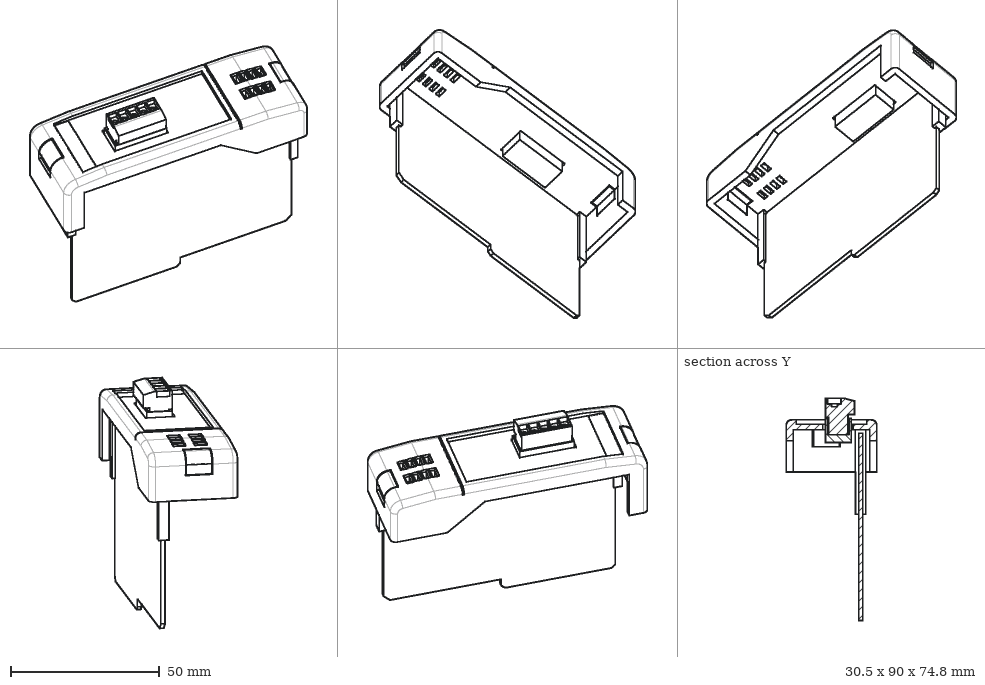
import cadquery as cq
import math


LENGTH = 90.0
WIDTH = 30.5
WALL = 2.4
EDGE_RADIUS = 2.0
CEILING_Z = -3.4
REAR_BOTTOM_Z = -17.6
FRONT_BOTTOM_Z = -25.0
REAR_SLOPE_Y = 29.8
REAR_SLOPE_DROP = 1.7
REAR_NOSE_RADIUS = 4.05
FRONT_SLOPE_Y = -30.1
FRONT_SLOPE_DROP = 1.35
FRONT_NOSE_RADIUS = 4.8

CUTOUT_Z = -7.1
CUTOUT_FRONT_Y = -38.2
CUTOUT_TOP_REAR_Y = 12.3
CUTOUT_BOTTOM_REAR_Y = 25.6

GROOVE_Y = 19.9
GROOVE_WIDTH = 0.5
GROOVE_DEPTH = 0.8
GROOVE_BOTTOM_Z = -2.4

PANEL_WIDTH = 23.6
PANEL_REAR_Y = 17.8
PANEL_FRONT_Y = -37.1
PANEL_DEPTH = 1.4
LABEL_REAR_Y = -31.7
LABEL_THICKNESS = 0.4

LED_COLUMNS = 2
LED_ROWS = 4
LED_COLUMN_PITCH = 7.4
LED_ROW_PITCH = 3.0
LED_CENTER = (-0.3, 31.4)
LED_RIM = (4.4, 2.6)
LED_BEVEL = 0.5

LATCH_WINDOW_X = -6.4
LATCH_WINDOW_WIDTH = 9.3
LATCH_WINDOW_REACH = 4.95
LATCH_WINDOW_BOTTOM_Z = -9.0
LATCH_GAP = 0.3
LATCH_INSET = 0.1
FINGER_NOTCH_DEPTH = 0.9

BOARD_X = 9.8
BOARD_THICKNESS = 1.4
BOARD_REAR_Y = 40.7
BOARD_FRONT_Y = -40.4
BOARD_TOP_Z = -4.5
BOARD_BOTTOM_Z = -67.5
BOARD_STEP_Y = -0.45
BOARD_STEP_HEIGHT = 4.05
BOARD_CHAMFER = 1.35
BOARD_REAR_CHAMFER = 2.2
GUIDE_WIDTH = 3.5
GUIDE_BOTTOM_Z = -31.8
GUIDE_OVERLAP = 0.8

TERMINAL_Y = -13.2
HEADER_LEFT_X = -2.1
HEADER_RIGHT_X = 6.7
HEADER_LENGTH = 19.1
HEADER_TOP_Z = 0.45
HEADER_BOTTOM_Z = -7.65
OPENING_LEFT_X = -2.9
OPENING_RIGHT_X = 7.2
OPENING_REAR_Y = -3.4
OPENING_FRONT_Y = -23.2
SOCKET_LEFT_X = -1.2
SOCKET_RIGHT_X = 5.9
SOCKET_LENGTH = 18.1
SOCKET_DEPTH = 5.4

POLES = 5
POLE_PITCH = 3.5
PLUG_LENGTH = POLES * POLE_PITCH
PLUG_TOP_Z = 7.3
PLUG_RIGHT_X = 7.7
PLUG_SHOULDER_Z = 0.8
PLUG_BEVEL_X = 4.05
PLUG_BEVEL_Z = 6.3
PLUG_OVERHANG_Z = 1.7
STEM_LEFT_X = -1.0
STEM_RIGHT_X = 5.6
POCKET_LEFT_X = -1.3
POCKET_WIDTH = 4.4
POCKET_LENGTH = 3.1
POCKET_DEPTH = 2.0
SCREW_HOLE_DIAMETER = 1.9
SCREW_HOLE_DEPTH = 0.9

ABOVE_ALL_Z = 9.0


def block(x_range, y_range, z_range):
    """Box between the given limits along each axis."""
    size = [abs(limits[1] - limits[0]) for limits in (x_range, y_range, z_range)]
    low = [min(limits) for limits in (x_range, y_range, z_range)]
    return cq.Workplane("XY").box(*size, centered=False).translate(tuple(low))


def side_extrusion(outline, width, center_x=0.0):
    """Extrudes an outline drawn on the YZ plane symmetrically about center_x."""
    return outline.extrude(width / 2, both=True).translate((center_x, 0, 0))


def nose_arc(direction, slope_y, slope_drop, radius):
    """Start, middle and end of the arc from a sloped top down to an end wall."""
    end_y = direction * LENGTH / 2
    angle = math.atan2(slope_drop, abs(end_y - slope_y))
    center_y = end_y - direction * radius
    slope_at_center = -abs(center_y - slope_y) * math.tan(angle)
    center_z = slope_at_center - radius / math.cos(angle)

    def point(turn):
        return (center_y + direction * radius * math.sin(turn), center_z + radius * math.cos(turn))

    middle_turn = (angle + math.pi / 2) / 2
    return point(angle), point(middle_turn), point(math.pi / 2)


REAR_NOSE = nose_arc(1, REAR_SLOPE_Y, REAR_SLOPE_DROP, REAR_NOSE_RADIUS)
FRONT_NOSE = nose_arc(-1, FRONT_SLOPE_Y, FRONT_SLOPE_DROP, FRONT_NOSE_RADIUS)


def side_outline():
    """Outline of the housing from the side, without the side cutout."""
    rear_start, rear_middle, rear_end = REAR_NOSE
    front_start, front_middle, front_end = FRONT_NOSE
    return (
        cq.Workplane("YZ")
        .moveTo(-LENGTH / 2, FRONT_BOTTOM_Z)
        .lineTo(*front_end)
        .threePointArc(front_middle, front_start)
        .lineTo(FRONT_SLOPE_Y, 0)
        .lineTo(REAR_SLOPE_Y, 0)
        .lineTo(*rear_start)
        .threePointArc(rear_middle, rear_end)
        .lineTo(LENGTH / 2, FRONT_BOTTOM_Z)
        .close()
    )


def side_cutout():
    """Region removed below the side walls, from the front wall to past the rear end."""
    beyond_z = BOARD_BOTTOM_Z
    beyond_y = LENGTH
    outline = cq.Workplane("YZ").polyline(
        [
            (CUTOUT_FRONT_Y, beyond_z),
            (CUTOUT_FRONT_Y, CUTOUT_Z),
            (CUTOUT_TOP_REAR_Y, CUTOUT_Z),
            (CUTOUT_BOTTOM_REAR_Y, REAR_BOTTOM_Z),
            (beyond_y, REAR_BOTTOM_Z),
            (beyond_y, beyond_z),
        ]
    ).close()
    return side_extrusion(outline, 2 * WIDTH)


def cavity():
    half_width = WIDTH / 2 - WALL
    half_length = LENGTH / 2 - WALL
    return block((-half_width, half_width), (-half_length, half_length), (BOARD_BOTTOM_Z, CEILING_Z))


def top_groove():
    """Groove of even depth that runs over the top and around both rounded edges."""
    y_range = (GROOVE_Y - GROOVE_WIDTH / 2, GROOVE_Y + GROOVE_WIDTH / 2)
    half_core = WIDTH / 2 - GROOVE_DEPTH
    core = block((-half_core, half_core), y_range, (FRONT_BOTTOM_Z, -GROOVE_DEPTH))
    core = core.edges("|Y and >Z").fillet(EDGE_RADIUS - GROOVE_DEPTH)
    return block((-WIDTH, WIDTH), y_range, (GROOVE_BOTTOM_Z, ABOVE_ALL_Z)).cut(core)


def panel_recess():
    half = PANEL_WIDTH / 2
    return block((-half, half), (PANEL_FRONT_Y, PANEL_REAR_Y), (-PANEL_DEPTH, ABOVE_ALL_Z))


def label_strip():
    half = PANEL_WIDTH / 2
    z_range = (-PANEL_DEPTH - LABEL_THICKNESS, -PANEL_DEPTH)
    return block((-half, half), (PANEL_FRONT_Y, LABEL_REAR_Y), z_range)


def header_opening():
    x_range = (OPENING_LEFT_X, OPENING_RIGHT_X)
    return block(x_range, (OPENING_FRONT_Y, OPENING_REAR_Y), (CEILING_Z, ABOVE_ALL_Z))


def rear_top_z(y):
    """Height of the housing's top surface on the flat and on the rear slope."""
    slope = REAR_SLOPE_DROP / (LENGTH / 2 - REAR_SLOPE_Y)
    return -max(0.0, y - REAR_SLOPE_Y) * slope


def led_windows():
    """Through windows, each with a rim bevelled at 45 degrees."""
    windows = cq.Workplane("XY")
    inner = [side - 2 * LED_BEVEL for side in LED_RIM]
    for column in range(LED_COLUMNS):
        x = LED_CENTER[0] + (column - (LED_COLUMNS - 1) / 2) * LED_COLUMN_PITCH
        for row in range(LED_ROWS):
            y = LED_CENTER[1] + (row - (LED_ROWS - 1) / 2) * LED_ROW_PITCH
            top = cq.Workplane("XY").center(x, y).workplane(offset=rear_top_z(y))
            rim = top.rect(*LED_RIM).extrude(-LED_BEVEL, taper=45)
            above = top.rect(*LED_RIM).extrude(LED_BEVEL)
            through = top.rect(*inner).extrude(CEILING_Z)
            windows = windows.add(rim.union(above).union(through))
    return windows.combine()


def latch_window(direction, clearance=0.0):
    """Space for a latch at one end, less a clearance at its sides and its inner edge."""
    x_range = (LATCH_WINDOW_X + clearance, LATCH_WINDOW_X + LATCH_WINDOW_WIDTH - clearance)
    end_y = direction * LENGTH / 2
    inner_y = end_y - direction * (LATCH_WINDOW_REACH - clearance)
    return block(x_range, (inner_y, end_y), (LATCH_WINDOW_BOTTOM_Z, ABOVE_ALL_Z))


def finger_notch(direction, nose_bottom_z):
    """Space in front of the flat lower part of a latch."""
    end_y = direction * LENGTH / 2
    x_range = (LATCH_WINDOW_X, LATCH_WINDOW_X + LATCH_WINDOW_WIDTH)
    y_range = (end_y - direction * FINGER_NOTCH_DEPTH, end_y)
    return block(x_range, y_range, (LATCH_WINDOW_BOTTOM_Z, nose_bottom_z))


def latch(direction, nose_bottom_z):
    """Tab that follows the rounded end of the housing and steps back below it."""
    inset_body = side_extrusion(side_outline().offset2D(-LATCH_INSET), WIDTH)
    tab = latch_window(direction, LATCH_GAP).intersect(inset_body).cut(cavity())
    return tab.cut(finger_notch(direction, nose_bottom_z))


def card_guide(direction, board_edge_y):
    """Post along an end wall, reaching far enough in to overlap the board's edge."""
    wall_y = direction * (LENGTH / 2 - WALL)
    inner_y = board_edge_y - direction * GUIDE_OVERLAP
    x_range = (BOARD_X - GUIDE_WIDTH / 2, BOARD_X + GUIDE_WIDTH / 2)
    return block(x_range, (inner_y, wall_y), (GUIDE_BOTTOM_Z, CEILING_Z))


def circuit_board():
    step_z = BOARD_BOTTOM_Z + BOARD_STEP_HEIGHT
    outline = cq.Workplane("YZ").polyline(
        [
            (BOARD_FRONT_Y, BOARD_TOP_Z),
            (BOARD_REAR_Y, BOARD_TOP_Z),
            (BOARD_REAR_Y, step_z + BOARD_REAR_CHAMFER),
            (BOARD_REAR_Y - BOARD_REAR_CHAMFER, step_z),
            (BOARD_STEP_Y, step_z),
            (BOARD_STEP_Y, BOARD_BOTTOM_Z + BOARD_CHAMFER),
            (BOARD_STEP_Y - BOARD_CHAMFER, BOARD_BOTTOM_Z),
            (BOARD_FRONT_Y + BOARD_CHAMFER, BOARD_BOTTOM_Z),
            (BOARD_FRONT_Y, BOARD_BOTTOM_Z + BOARD_CHAMFER),
        ]
    ).close()
    return side_extrusion(outline, BOARD_THICKNESS, BOARD_X)


def housing_body():
    body = side_extrusion(side_outline(), WIDTH)
    body = body.faces("<X or >X").edges("not <Z").fillet(EDGE_RADIUS)
    body = body.cut(side_cutout()).cut(cavity())
    body = body.cut(top_groove()).cut(panel_recess()).cut(label_strip())
    body = body.cut(header_opening()).cut(led_windows())
    for direction in (1, -1):
        body = body.cut(latch_window(direction))
    body = body.union(card_guide(1, BOARD_REAR_Y)).union(card_guide(-1, BOARD_FRONT_Y))
    return body.cut(circuit_board())


def terminal_header():
    """Open-topped shell that receives the stem of the plug."""
    half_length = HEADER_LENGTH / 2
    y_range = (TERMINAL_Y - half_length, TERMINAL_Y + half_length)
    shell = block((HEADER_LEFT_X, HEADER_RIGHT_X), y_range, (HEADER_BOTTOM_Z, HEADER_TOP_Z))
    socket_y = (TERMINAL_Y - SOCKET_LENGTH / 2, TERMINAL_Y + SOCKET_LENGTH / 2)
    socket_z = (HEADER_TOP_Z - SOCKET_DEPTH, HEADER_TOP_Z)
    return shell.cut(block((SOCKET_LEFT_X, SOCKET_RIGHT_X), socket_y, socket_z))


def terminal_plug():
    """Plug with a stem below, a bevelled side, and one screw pocket for each pole."""
    stem_bottom_z = HEADER_TOP_Z - SOCKET_DEPTH
    plug = (
        cq.Workplane("XZ")
        .polyline(
            [
                (HEADER_LEFT_X, PLUG_SHOULDER_Z),
                (HEADER_LEFT_X, PLUG_TOP_Z),
                (PLUG_BEVEL_X, PLUG_TOP_Z),
                (PLUG_RIGHT_X, PLUG_BEVEL_Z),
                (PLUG_RIGHT_X, PLUG_OVERHANG_Z),
                (STEM_RIGHT_X, PLUG_OVERHANG_Z),
                (STEM_RIGHT_X, stem_bottom_z),
                (STEM_LEFT_X, stem_bottom_z),
                (STEM_LEFT_X, PLUG_SHOULDER_Z),
            ]
        )
        .close()
        .extrude(PLUG_LENGTH / 2, both=True)
        .translate((0, TERMINAL_Y, 0))
    )
    pocket_x = POCKET_LEFT_X + POCKET_WIDTH / 2
    for pole in range(POLES):
        y = TERMINAL_Y + (pole - (POLES - 1) / 2) * POLE_PITCH
        top = cq.Workplane("XY").center(pocket_x, y).workplane(offset=PLUG_TOP_Z)
        pocket = top.rect(POCKET_WIDTH, POCKET_LENGTH).extrude(-POCKET_DEPTH)
        screw_hole = top.circle(SCREW_HOLE_DIAMETER / 2).extrude(-POCKET_DEPTH - SCREW_HOLE_DEPTH)
        plug = plug.cut(pocket).cut(screw_hole)
    return plug


housing = housing_body()
label = label_strip()
latches = [latch(direction, nose[-1][1]) for direction, nose in ((1, REAR_NOSE), (-1, FRONT_NOSE))]
board = circuit_board()
header = terminal_header()
plug = terminal_plug()

result = cq.Compound.makeCompound(
    [
        housing.val(),
        label.val(),
        *[tab.val() for tab in latches],
        board.val(),
        header.val(),
        plug.val(),
    ]
)